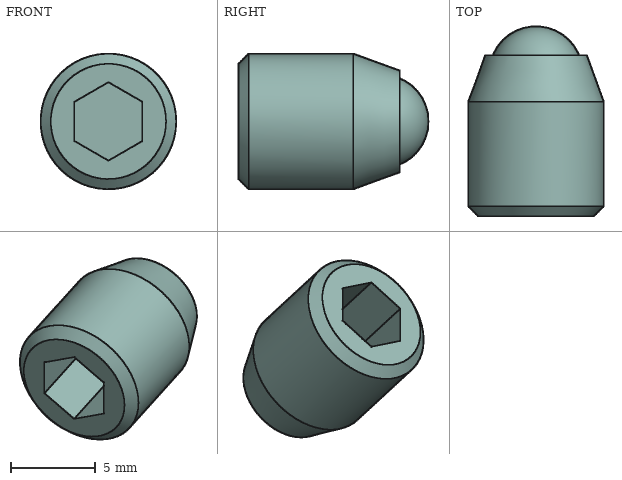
import cadquery as cq
import math

total_length = 11.2
body_diameter = 8.0
body_length = 9.5
chamfer = 0.6
taper_length = 2.74
taper_angle = 20.0
ball_diameter = 5.5
hex_across_flats = 4.0
hex_depth = 4.0

body_radius = body_diameter / 2
ball_radius = ball_diameter / 2
ball_center_y = total_length - ball_radius
nose_radius = body_radius - taper_length * math.tan(math.radians(taper_angle))
hex_across_corners = hex_across_flats / math.cos(math.pi / 6)


def make_ball():
    """Full sphere protruding from the tapered nose."""
    return cq.Workplane("XY").sphere(ball_radius).translate((0, ball_center_y, 0))


def make_hex_socket():
    """Hexagonal prism with two corners on the vertical axis."""
    return (
        cq.Workplane("XZ")
        .transformed(rotate=(0, 0, 90))
        .polygon(6, hex_across_corners)
        .extrude(-hex_depth)
    )


def make_screw_body():
    """Turned blank with chamfer and taper, cut by the hex and ball sockets."""
    blank = (
        cq.Workplane("XY")
        .moveTo(0, 0)
        .lineTo(body_radius - chamfer, 0)
        .lineTo(body_radius, chamfer)
        .lineTo(body_radius, body_length - taper_length)
        .lineTo(nose_radius, body_length)
        .lineTo(0, body_length)
        .close()
        .revolve(360, (0, 0, 0), (0, 1, 0))
    )
    return blank.cut(make_hex_socket()).cut(make_ball())


screw_body = make_screw_body()
ball = make_ball()

result = cq.Compound.makeCompound([screw_body.val(), ball.val()])